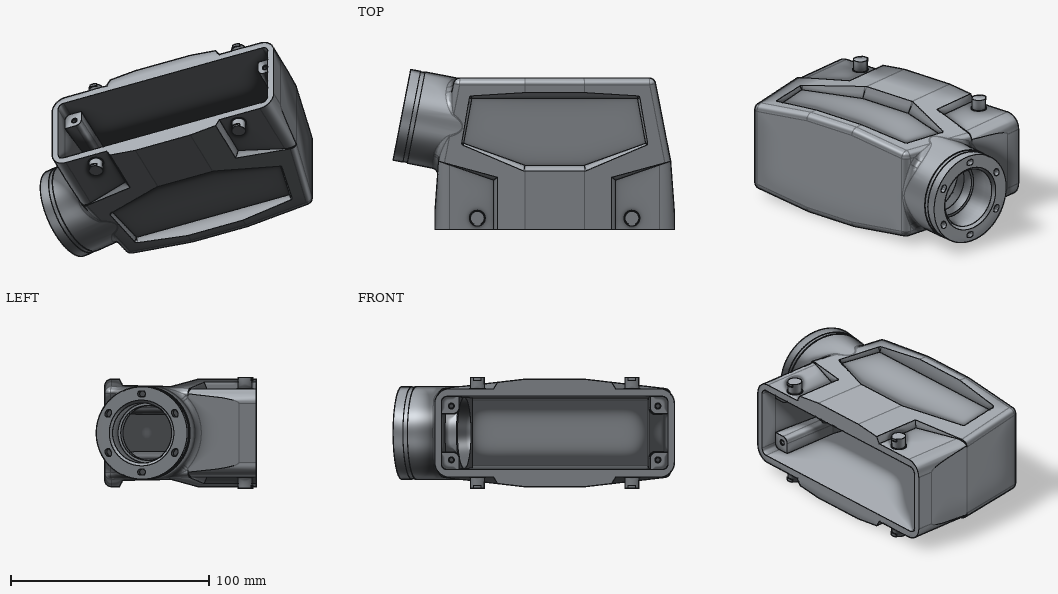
import cadquery as cq
import math


body_length = 76.6
mouth_half_width = 60.5
shoulder_half_width = 58.6
mouth_half_height = 22.3
straight_length = 8.8
shoulder_y = 34.6
mouth_corner_radius = 7.5
side_tilt = 11.0
belly_half_height = 27.2
belly_flat_half_width = 15.0
belly_slope = 6.6
crown_radius = 3.5

land_inner_x = 30.8
land_inner_y = 25.0
land_wall_draft = 31.0

panel_floor_z = 21.6
panel_wall_draft = 28.0
panel_top_y = 66.2
panel_top_half_width = 41.8
panel_side_half_width = 45.9
panel_side_y = 43.6
panel_bottom_y = 32.5

neck_face_x = -77.125
neck_face_y = 57.97
flange_radius = 23.4
flange_length = 5.1
neck_radius = 23.55
groove_radius = 23.2
groove_end = 7.4
neck_length = 35.0
neck_root_fillet = 3.0
seal_bore_radius = 15.2
seal_chamfer = 1.4
seal_depth = 16.0
throat_radius = 13.85
throat_end = 22.0
entry_radius = 18.0
entry_end = 33.0
gland_hole_count = 6
gland_hole_circle = 19.75
gland_hole_length = 4.0
gland_hole_width = 3.0
gland_hole_depth = 5.0

cavity_half_width = 57.2
cavity_half_height = 18.55
cavity_end_half_height = 17.7
cavity_depth = 73.2
cavity_corner_radius = 3.0
cavity_floor_fillet = 1.0
cavity_shoulder_half_width = 55.1
sleeve_radius = 20.7
sleeve_end = 32.1
sleeve_pocket_y = 38.0

post_face_y = 9.0
post_inner_x = 48.3
post_inner_z = 9.8
post_corner_radius = 3.0
post_draft = 0.7
post_hole_x = 52.1
post_hole_z = 13.6
post_hole_radius = 1.15
post_hole_rim_radius = 1.5
post_hole_depth = 12.0

peg_x = 39.0
peg_y = 5.8
peg_radius = 3.5
peg_tip_z = 28.0
peg_seat_radius = 4.0
peg_seat_height = 0.15
peg_lip_width = 3.8
peg_lip_bottom_z = 26.5

tilt_sin = math.sin(math.radians(side_tilt))
tilt_cos = math.cos(math.radians(side_tilt))
tilt_slope = tilt_sin / tilt_cos
overlap = 1.0


def across_y(y):
    """Plane normal to +Y at the given Y, with local x along X."""
    return cq.Workplane(cq.Plane((0, y, 0), (1, 0, 0), (0, 1, 0)))


def both_sides(solid):
    """The solid together with its mirror image about Z = 0."""
    return solid.union(solid.mirror("XY"))


def all_corners(solid):
    """The solid repeated in the four corners of the hood."""
    return both_sides(solid.union(solid.mirror("YZ")))


def mirrored_outline(right_points):
    """Right-hand points of an outline followed by their mirror images about X = 0."""
    return right_points + [(-x, y) for x, y in reversed(right_points)]


def plan_prism(outline, half_height):
    return cq.Workplane("XY").polyline(outline).close().extrude(half_height, both=True)


def mouth_skirt():
    """Lower part of the hood: a rounded tube whose two ends lean inwards above the straight rim."""
    sketch = cq.Sketch().rect(2 * mouth_half_width, 2 * mouth_half_height)
    tube = across_y(0).placeSketch(sketch.vertices().fillet(mouth_corner_radius)).extrude(shoulder_y)
    right = [(mouth_half_width, 0), (mouth_half_width, straight_length), (shoulder_half_width, shoulder_y)]
    return tube.intersect(plan_prism(mirrored_outline(right), belly_half_height + overlap))


def belly():
    """Bulged upper part of the hood, reaching down to the mouth between the peg lands."""
    drop = (mouth_half_width - belly_flat_half_width) * math.tan(math.radians(belly_slope))
    edge_half_height = belly_half_height - drop
    corners = [(mouth_half_width, edge_half_height), (belly_flat_half_width, belly_half_height)]
    upper = mirrored_outline(corners)
    lower = [(-x, -z) for x, z in upper]
    bulge = across_y(0).polyline(upper + lower).close().extrude(body_length)

    crown_half_width = shoulder_half_width - (body_length - shoulder_y) * tilt_slope
    right = [(land_inner_x, 0), (land_inner_x, land_inner_y), (shoulder_half_width, shoulder_y),
             (crown_half_width, body_length)]
    solid = bulge.intersect(plan_prism(mirrored_outline(right), belly_half_height + overlap))

    reach = mouth_half_width + overlap
    upper_edges = cq.selectors.BoxSelector(
        (-reach, shoulder_y + overlap, -reach), (reach, body_length + overlap, reach)
    )
    return solid.edges(upper_edges).edges("not |Y").fillet(crown_radius)


def peg_land():
    """Cutter for one land: a flat at the mouth height with a drafted wall towards the belly."""
    past = 2 * mouth_half_width
    slope = (shoulder_y - land_inner_y) / (shoulder_half_width - land_inner_x)
    outline = [
        (land_inner_x, -past),
        (land_inner_x, land_inner_y),
        (past, land_inner_y + slope * (past - land_inner_x)),
        (past, -past),
    ]
    height = belly_half_height - mouth_half_height
    spread = height * math.tan(math.radians(land_wall_draft))
    top = cq.Workplane("XY", origin=(0, 0, belly_half_height)).polyline(outline).close()
    top = top.offset2D(spread, "intersection")
    return top.workplane(offset=-height).polyline(outline).close().loft(ruled=True)


def label_panel():
    """Cutter for the label recess: a flat floor with drafted walls."""
    right = [(belly_flat_half_width, panel_bottom_y), (panel_side_half_width, panel_side_y),
             (panel_top_half_width, panel_top_y)]
    height = belly_half_height - panel_floor_z + overlap
    floor = cq.Workplane("XY", origin=(0, 0, panel_floor_z)).polyline(mirrored_outline(right)).close()
    return floor.extrude(height, taper=-panel_wall_draft)


def neck_face():
    """Plane of the neck's outer face, normal pointing into the hood."""
    return cq.Workplane(cq.Plane((neck_face_x, neck_face_y, 0), (0, 0, 1), (tilt_cos, -tilt_sin, 0)))


def turned(profile):
    """Solid of revolution about the neck axis from (radius, depth) points."""
    plane = cq.Plane((neck_face_x, neck_face_y, 0), (tilt_sin, tilt_cos, 0), (0, 0, -1))
    return cq.Workplane(plane).polyline(profile).close().revolve(360, (0, 0), (0, 1))


def neck():
    return turned([
        (0, 0),
        (flange_radius, 0),
        (flange_radius, flange_length),
        (groove_radius, flange_length),
        (groove_radius, groove_end),
        (neck_radius, groove_end),
        (neck_radius, neck_length),
        (0, neck_length),
    ])


def rounded_neck_root(shell):
    """Blend the neck into the flat end wall of the hood."""
    root_edges = cq.selectors.BoxSelector(
        (-mouth_half_width, land_inner_y, -cavity_half_height),
        (-post_inner_x, body_length, cavity_half_height),
    )
    return shell.edges(root_edges).edges("not %LINE").fillet(neck_root_fillet)


def neck_bore():
    return turned([
        (0, -overlap),
        (seal_bore_radius + seal_chamfer + overlap, -overlap),
        (seal_bore_radius, seal_chamfer),
        (seal_bore_radius, seal_depth),
        (throat_radius, seal_depth),
        (throat_radius, throat_end),
        (entry_radius, throat_end),
        (entry_radius, entry_end),
        (0, entry_end),
    ])


def gland_holes():
    return (
        neck_face()
        .polarArray(gland_hole_circle, 0, 360, gland_hole_count)
        .slot2D(gland_hole_length, gland_hole_width, 90)
        .extrude(gland_hole_depth)
    )


def cavity():
    """Hollow of the hood; the inner end of the neck is a sleeve standing out into it on the left."""
    right_end_x = cavity_shoulder_half_width - (cavity_depth - shoulder_y) * tilt_slope
    sleeve_end_y = neck_face_y - sleeve_end * tilt_sin
    sleeve_end_x = neck_face_x + sleeve_end * tilt_cos
    plan = [
        (-cavity_half_width, post_face_y),
        (-cavity_half_width, 0),
        (cavity_half_width, 0),
        (cavity_half_width, post_face_y),
        (cavity_shoulder_half_width, shoulder_y),
        (right_end_x, cavity_depth),
        (sleeve_end_x + (cavity_depth - sleeve_end_y) * tilt_slope, cavity_depth),
        (sleeve_end_x + (sleeve_pocket_y - sleeve_end_y) * tilt_slope, sleeve_pocket_y),
        (-cavity_shoulder_half_width, sleeve_pocket_y),
        (-cavity_shoulder_half_width, shoulder_y),
    ]
    section = [(0, cavity_half_height), (cavity_depth, cavity_end_half_height),
               (cavity_depth, -cavity_end_half_height), (0, -cavity_half_height)]
    tapered = cq.Workplane("YZ").polyline(section).close().extrude(mouth_half_width, both=True)
    hollow = plan_prism(plan, cavity_half_height).intersect(tapered)
    hollow = hollow.faces(">Y").edges("|X or >X").fillet(cavity_floor_fillet)
    mouth_corners = cq.selectors.BoxSelector(
        (-mouth_half_width, overlap, -mouth_half_height),
        (mouth_half_width, shoulder_y - overlap, mouth_half_height),
    )
    hollow = hollow.edges(mouth_corners).edges("<X or >X").fillet(cavity_corner_radius)
    sleeve = turned([(0, 0), (sleeve_radius, 0), (sleeve_radius, sleeve_end), (0, sleeve_end)])
    return hollow.cut(sleeve)


def screw_post():
    """Drafted corner post; its outer sides run into the hood walls."""
    width = mouth_half_width - post_inner_x - overlap
    height = mouth_half_height - post_inner_z - overlap
    section = cq.Sketch().rect(width, height).vertices().fillet(post_corner_radius)
    face = across_y(post_face_y).center(post_inner_x + width / 2, post_inner_z + height / 2)
    return face.placeSketch(section).extrude(cavity_depth - post_face_y, taper=-post_draft)


def screw_post_hole():
    start = across_y(post_face_y).center(post_hole_x, post_hole_z)
    rim_depth = post_hole_rim_radius - post_hole_radius
    hole = start.circle(post_hole_radius).extrude(post_hole_depth)
    rim = start.circle(post_hole_rim_radius).workplane(offset=rim_depth).circle(post_hole_radius).loft()
    return hole.union(rim)


def locking_peg():
    """Round peg on a thin seat, with a short lip at its tip on the mouth side."""
    seat = cq.Workplane("XY", origin=(peg_x, peg_y, mouth_half_height - overlap))
    foot = seat.circle(peg_seat_radius).extrude(peg_seat_height + overlap)
    shank = seat.circle(peg_radius).extrude(peg_tip_z - mouth_half_height + overlap)
    under_lip = cq.Workplane("XY", origin=(peg_x, peg_y, peg_lip_bottom_z))
    lip_height = peg_tip_z - peg_lip_bottom_z
    mouth_side = under_lip.center(0, -peg_seat_radius)
    mouth_side = mouth_side.rect(2 * peg_seat_radius, 2 * peg_seat_radius).extrude(lip_height)
    lip_block = under_lip.rect(peg_lip_width, 2 * peg_seat_radius).extrude(lip_height)
    lip = under_lip.circle(peg_seat_radius).extrude(lip_height).intersect(lip_block)
    lip = lip.intersect(mouth_side)
    return foot.union(shank).union(lip)


shell = belly().cut(all_corners(peg_land())).union(mouth_skirt())
shell = rounded_neck_root(shell.union(neck()))
shell = shell.cut(both_sides(label_panel()))
hollow = cavity().cut(all_corners(screw_post()))
result = shell.cut(hollow).cut(neck_bore()).cut(gland_holes()).cut(all_corners(screw_post_hole()))
result = result.union(all_corners(locking_peg()))